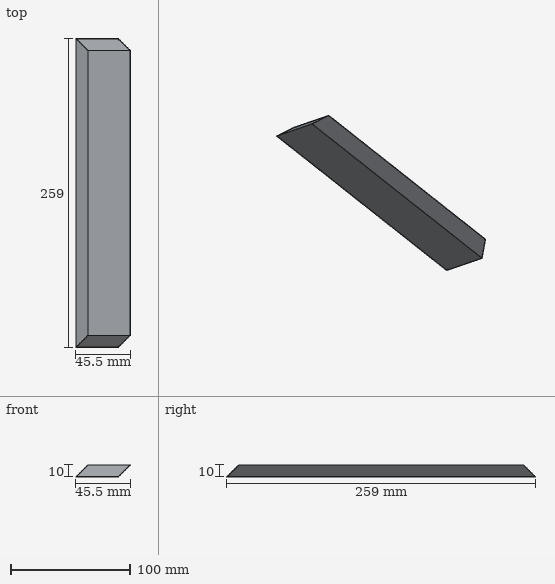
import cadquery as cq

width = 45.5
length = 259.0
height = 10.0

slope_run = height

half_length = length / 2

left = -width / 2
right = width / 2
bar = (
    cq.Workplane("XZ")
    .polyline([
        (left, 0),
        (right - slope_run, 0),
        (right, height),
        (left + slope_run, height),
    ])
    .close()
    .extrude(half_length, both=True)
)

end_bevels = (
    cq.Workplane("YZ")
    .polyline([
        (-half_length, 0),
        (half_length, 0),
        (half_length - slope_run, height),
        (-half_length + slope_run, height),
    ])
    .close()
    .extrude(width, both=True)
)

result = bar.intersect(end_bevels)